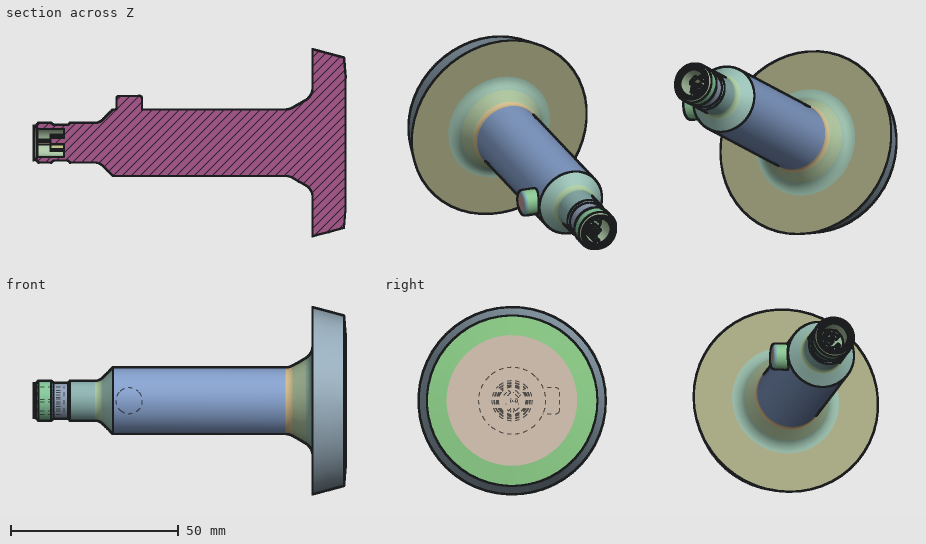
import cadquery as cq
import math

TOTAL_LENGTH = 93.2
FLANGE_DIAMETER = 56.0
BODY_DIAMETER = 20.0

TIP_DIAMETER = 10.47
TIP_LENGTH = 0.7
PLUG_DIAMETER = 12.0
GROOVE_DIAMETER = 10.8
COLLAR_END = 5.2
GROOVE_START = 6.0
GROOVE_END = 10.3

BODY_START = 23.65
SHOULDER_ANGLE = 45.0
SHOULDER_FILLET = 3.0

FLARE_ANGLE = 30.0
FLARE_FILLET = 4.0
FLARE_CONE_LENGTH = 3.9

FLANGE_THICKNESS = 10.0
CROWN_HEIGHT = 0.5
END_FACE_DIAMETER = 39.0
RIM_TAPER = 15.0

MOUTH_DIAMETER = 9.45
MOUTH_DEPTH = 0.9
SOCKET_DIAMETER = 8.2
SOCKET_LEAD_IN = 0.3
SOCKET_DEPTH = 9.0
KEY_WIDTH = 0.9
KEY_INNER_RADIUS = 3.1
KEY_START = 1.0

CONTACT_WIDTH = 2.0
CONTACT_THICKNESS = 0.9
CONTACT_START = 5.0
CONTACT_Y = 1.45
CONTACT_Z = 2.05
CONTACT_TILT = 45.0
CENTRE_CONTACT_Y = 0.55

PIN_DIAMETER = 0.8
PIN_START = 1.1

BUTTON_DIAMETER = 7.8
BUTTON_X = 28.5
BUTTON_TOP = 14.1
BUTTON_FILLET = 1.0


def arc_middle(centre, radius, start_angle, end_angle):
    """Point halfway along an arc, angles in degrees."""
    angle = math.radians((start_angle + end_angle) / 2)
    return (centre[0] + radius * math.cos(angle), centre[1] + radius * math.sin(angle))


def make_turned_body():
    tip_radius = TIP_DIAMETER / 2
    plug_radius = PLUG_DIAMETER / 2
    groove_radius = GROOVE_DIAMETER / 2
    body_radius = BODY_DIAMETER / 2
    flange_radius = FLANGE_DIAMETER / 2

    shoulder = math.radians(SHOULDER_ANGLE)
    corner_x = BODY_START - (body_radius - plug_radius) / math.tan(shoulder)
    shoulder_start = corner_x - SHOULDER_FILLET * math.tan(shoulder / 2)
    shoulder_centre = (shoulder_start, plug_radius + SHOULDER_FILLET)
    shoulder_end = (
        shoulder_start + SHOULDER_FILLET * math.sin(shoulder),
        plug_radius + SHOULDER_FILLET * (1 - math.cos(shoulder)),
    )

    flare = math.radians(FLARE_ANGLE)
    flange_x = TOTAL_LENGTH - FLANGE_THICKNESS
    cone_end_x = flange_x - FLARE_FILLET * (1 - math.sin(flare))
    cone_start_x = cone_end_x - FLARE_CONE_LENGTH
    flare_start = cone_start_x - FLARE_FILLET * math.sin(flare)
    cone_start_radius = body_radius + FLARE_FILLET * (1 - math.cos(flare))
    cone_end_radius = cone_start_radius + FLARE_CONE_LENGTH * math.tan(flare)
    flare_end_radius = cone_end_radius + FLARE_FILLET * math.cos(flare)
    inner_centre = (flare_start, body_radius + FLARE_FILLET)
    outer_centre = (flange_x - FLARE_FILLET, flare_end_radius)

    rim_x = TOTAL_LENGTH - CROWN_HEIGHT
    rim_radius = flange_radius - (rim_x - flange_x) * math.tan(math.radians(RIM_TAPER))

    profile = (
        cq.Workplane("XY")
        .moveTo(0, 0)
        .lineTo(0, tip_radius)
        .lineTo(TIP_LENGTH, tip_radius)
        .lineTo(TIP_LENGTH + plug_radius - tip_radius, plug_radius)
        .lineTo(COLLAR_END, plug_radius)
        .lineTo(GROOVE_START, groove_radius)
        .lineTo(GROOVE_END, groove_radius)
        .lineTo(GROOVE_END + plug_radius - groove_radius, plug_radius)
        .lineTo(shoulder_start, plug_radius)
        .threePointArc(
            arc_middle(shoulder_centre, SHOULDER_FILLET, -90, -90 + SHOULDER_ANGLE), shoulder_end
        )
        .lineTo(BODY_START, body_radius)
        .lineTo(flare_start, body_radius)
        .threePointArc(
            arc_middle(inner_centre, FLARE_FILLET, -90, -90 + FLARE_ANGLE),
            (cone_start_x, cone_start_radius),
        )
        .lineTo(cone_end_x, cone_end_radius)
        .threePointArc(
            arc_middle(outer_centre, FLARE_FILLET, -90 + FLARE_ANGLE, 0),
            (flange_x, flare_end_radius),
        )
        .lineTo(flange_x, flange_radius)
        .lineTo(rim_x, rim_radius)
        .lineTo(TOTAL_LENGTH, END_FACE_DIAMETER / 2)
        .lineTo(TOTAL_LENGTH, 0)
        .close()
    )
    return profile.revolve(360, (0, 0, 0), (1, 0, 0))


def make_socket():
    bore_radius = SOCKET_DIAMETER / 2
    return (
        cq.Workplane("XY")
        .moveTo(0, 0)
        .lineTo(0, MOUTH_DIAMETER / 2)
        .lineTo(MOUTH_DEPTH, MOUTH_DIAMETER / 2)
        .lineTo(MOUTH_DEPTH, bore_radius + SOCKET_LEAD_IN)
        .lineTo(MOUTH_DEPTH + SOCKET_LEAD_IN, bore_radius)
        .lineTo(SOCKET_DEPTH, bore_radius)
        .lineTo(SOCKET_DEPTH, 0)
        .close()
        .revolve(360, (0, 0, 0), (1, 0, 0))
    )


def make_key():
    outer_radius = MOUTH_DIAMETER / 2
    height = outer_radius - KEY_INNER_RADIUS
    return (
        cq.Workplane("YZ", origin=(KEY_START, 0, 0))
        .center(0, -(outer_radius + KEY_INNER_RADIUS) / 2)
        .rect(KEY_WIDTH, height)
        .extrude(SOCKET_DEPTH - KEY_START)
    )


def make_contact(y, z, tilt):
    return (
        cq.Workplane("YZ", origin=(CONTACT_START, y, z))
        .transformed(rotate=(0, 0, tilt))
        .rect(CONTACT_WIDTH, CONTACT_THICKNESS)
        .extrude(SOCKET_DEPTH - CONTACT_START)
    )


def make_centre_pin():
    return (
        cq.Workplane("YZ", origin=(PIN_START, CENTRE_CONTACT_Y, 0))
        .circle(PIN_DIAMETER / 2)
        .extrude(SOCKET_DEPTH - PIN_START)
    )


def make_button():
    return (
        cq.Workplane("XZ", origin=(BUTTON_X, 0, 0))
        .circle(BUTTON_DIAMETER / 2)
        .extrude(-BUTTON_TOP)
        .faces(">Y")
        .edges()
        .fillet(BUTTON_FILLET)
    )


result = make_turned_body().union(make_button())
result = result.cut(make_socket()).union(make_key())
result = result.union(make_contact(CENTRE_CONTACT_Y, 0, 0)).union(make_centre_pin())
for side_y in (-1, 1):
    for side_z in (-1, 1):
        tilt = -side_y * side_z * CONTACT_TILT
        result = result.union(make_contact(side_y * CONTACT_Y, side_z * CONTACT_Z, tilt))